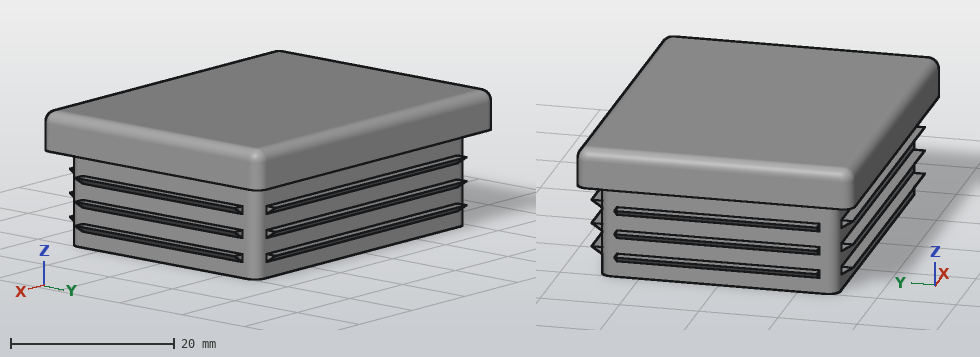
import cadquery as cq

cap_length = 45.0
cap_width = 35.0
cap_height = 5.0
edge_radius = 1.5

cap_overhang = 2.48
plug_height = 12.0
plug_length = cap_length - 2 * cap_overhang
plug_width = cap_width - 2 * cap_overhang

fin_count = 3
fin_pitch = 3.0
fin_reach = 1.5
fin_height = 1.0
long_fin_length = 36.2
short_fin_length = 25.55


def make_cap():
    """Block with equally rounded corners and top edges."""
    cap = cq.Workplane("XY").workplane(offset=plug_height)
    cap = cap.rect(cap_length, cap_width).extrude(cap_height)
    return cap.edges("|Z or >Z").fillet(edge_radius)


def make_plug():
    """Block with rounded upright corners."""
    plug = cq.Workplane("XY").rect(plug_length, plug_width).extrude(plug_height)
    return plug.edges("|Z").fillet(edge_radius)


def make_fin_pair(plane, face_distance, length, top):
    """Matching fins on two opposite plug faces; the plane's normal runs along the fins."""
    pair = cq.Workplane(plane)
    for side in (-1, 1):
        profile = [
            (0, top),
            (side * (face_distance + fin_reach), top),
            (side * face_distance, top - fin_height),
            (0, top - fin_height),
        ]
        fin = cq.Workplane(plane).polyline(profile).close().extrude(length / 2, both=True)
        pair = pair.add(fin)
    return pair.combine()


result = make_cap().union(make_plug())
for level in range(1, fin_count + 1):
    fin_top = level * fin_pitch
    result = result.union(make_fin_pair("XZ", plug_length / 2, short_fin_length, fin_top))
    result = result.union(make_fin_pair("YZ", plug_width / 2, long_fin_length, fin_top))